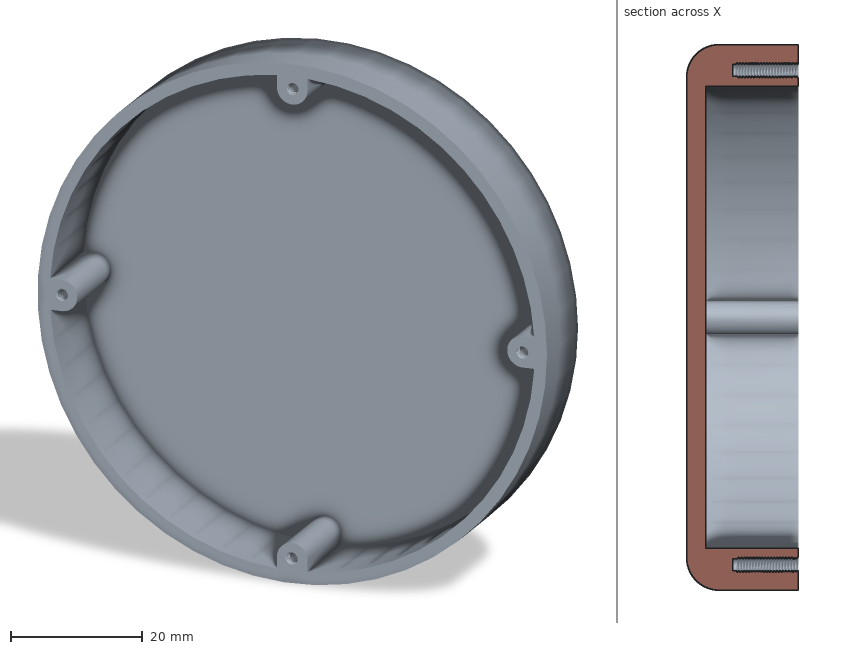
import cadquery as cq

outer_diameter = 83.0
height = 17.0
wall = 2.0
floor_thickness = 3.0
edge_radius = 5.0

boss_count = 4
boss_width = 5.0
boss_edge_distance = 4.0

thread_minor_diameter = 1.75
thread_major_diameter = 2.2
thread_pitch = 0.45
thread_flank_gap = 0.03
thread_start_angle = 180.0
thread_overlap = 0.04
hole_depth = 10.0

outer_radius = outer_diameter / 2
inner_radius = outer_radius - wall
screw_circle_radius = outer_radius - boss_edge_distance
cavity_depth = height - floor_thickness
rim_y = -height / 2


def rim_plane(x=0):
    """Sketch plane on the rim, centered at x, with its normal pointing into the part (+Y)."""
    return cq.Workplane(cq.Plane(origin=(x, rim_y, 0), xDir=(1, 0, 0), normal=(0, 1, 0)))


def make_shell():
    body = rim_plane().circle(outer_radius).extrude(height).faces(">Y").edges().fillet(edge_radius)
    cavity = rim_plane().circle(inner_radius).extrude(cavity_depth)
    return body.cut(cavity)


def make_thread_groove():
    """Helical V groove of the screw thread on the +X side, starting one turn in front of the rim."""
    start_y = rim_y - thread_pitch
    root_radius = thread_minor_diameter / 2 - thread_overlap
    crest_radius = thread_major_diameter / 2
    half_width = (thread_pitch - thread_flank_gap) / 2
    axis = cq.Vector(0, 1, 0)
    center = cq.Vector(screw_circle_radius, start_y, 0)
    helix = cq.Wire.makeHelix(thread_pitch, hole_depth, root_radius, center, axis)
    radial = (helix.startPoint() - center).normalized()
    profile_plane = cq.Plane(origin=center, xDir=radial, normal=radial.cross(axis))
    profile = cq.Workplane(profile_plane).polyline(
        [(root_radius, -half_width), (crest_radius, 0), (root_radius, half_width)]
    )
    return profile.close().sweep(cq.Workplane(helix), isFrenet=True)


def turn_about_screw_axis(cutter):
    """Turn a cutter of the +X screw hole to the start angle of its thread."""
    axis_start = (screw_circle_radius, 0, 0)
    axis_end = (screw_circle_radius, 1, 0)
    return cutter.rotate(axis_start, axis_end, thread_start_angle)


def make_boss():
    """Threaded boss on the +X side: a round nose with a web reaching into the wall."""
    web_length = boss_edge_distance - wall / 2
    nose = rim_plane(screw_circle_radius).circle(boss_width / 2).extrude(cavity_depth)
    web = (
        rim_plane(screw_circle_radius + web_length / 2)
        .rect(web_length, boss_width)
        .extrude(cavity_depth)
    )
    envelope = rim_plane().circle(outer_radius - wall / 2).extrude(cavity_depth)
    hole = rim_plane(screw_circle_radius).circle(thread_minor_diameter / 2).extrude(hole_depth)
    body = nose.union(web).intersect(envelope)
    for cutter in (hole, make_thread_groove()):
        body = body.cut(turn_about_screw_axis(cutter))
    return body


cover = make_shell()
boss = make_boss()
for index in range(boss_count):
    cover = cover.union(boss.rotate((0, 0, 0), (0, 1, 0), index * 360 / boss_count))

result = cover.solids()